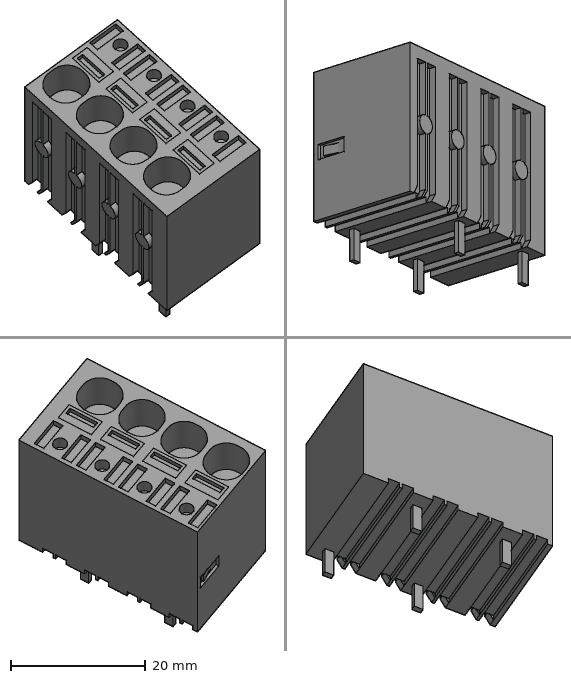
import cadquery as cq


LENGTH = 31.8
DEPTH = 18.5
TOTAL_HEIGHT = 29.15
PIN_LENGTH = 5.1
HEIGHT = TOTAL_HEIGHT - PIN_LENGTH
POLE_COUNT = 4
PITCH = 7.5
POLE_STARTS = [pole * PITCH for pole in range(POLE_COUNT)]
POLE_CENTER = PITCH / 2

SLOT_WIDTH = 1.88
RIB_WIDTH = 0.45
SLOT_DEPTH = 1.1
SLOT_TOP = 22.0
SLOT_BEND = 1.45
SLOT_SHIFT = 0.9
FIRST_SLOT = 1.75
SLOT_STARTS = [FIRST_SLOT, FIRST_SLOT + SLOT_WIDTH + RIB_WIDTH]
CHANNEL_HEIGHT = 0.95
DISC_DIAMETER = 3.0
DISC_HEIGHT = HEIGHT / 2

WIRE_WIDTH = 6.52
WIRE_LENGTH = 6.8
WIRE_CORNER_RADIUS = 2.95
WIRE_CENTER_Y = 4.95
WIRE_DEPTH = 6.35
TEST_DIAMETER = 2.2
TEST_CENTER_Y = 15.75
TEST_DEPTH = 2.23
POCKET_WIDTH = 1.7
POCKET_LENGTH = 5.18
POCKET_DEPTH = 1.0
POCKET_CENTER_Y = 15.2
POCKET_STARTS = [0.4, 5.3]

BUTTON_WIDTH = 5.88
BUTTON_LENGTH = 2.93
BUTTON_HEIGHT = 1.9
BUTTON_CENTER_Y = 10.27
BUTTON_SLOT_WIDTH = 4.9
BUTTON_SLOT_LENGTH = 1.08
BUTTON_SLOT_DEPTH = 0.75
BUTTON_SLOT_CENTER_Y = 9.85

RECESS_DEPTH = 0.5
RECESS_FRONT = 12.7
RECESS_LENGTH = 4.95
RECESS_BOTTOM = 9.75
RECESS_HEIGHT = 2.45
WEDGE_FRONT = 14.15
WEDGE_BACK = 16.7
WEDGE_BOTTOM = 10.18
WEDGE_HEIGHT = 1.55
WEDGE_RISE = 0.4

PIN_WIDTH = 1.5
PIN_THICKNESS = 0.8
PIN_CENTER_X = 6.55
PIN_FRONT_Y = 1.95
PIN_BACK_Y = 15.9


def block(x, y, z, width, length, height):
    """Box with its lowest corner at (x, y, z)."""
    return cq.Workplane("XY").box(width, length, height, centered=False).translate((x, y, z))


def top_block(center_x, center_y, width, length, depth):
    """Box that goes down from the top face of the housing."""
    x = center_x - width / 2
    y = center_y - length / 2
    return block(x, y, HEIGHT - depth, width, length, depth)


def front_slot(left):
    """Slot in the front face whose lower end slants to the left."""
    right = left + SLOT_WIDTH
    outline = [
        (left, SLOT_TOP),
        (right, SLOT_TOP),
        (right, SLOT_BEND),
        (right - SLOT_SHIFT, 0),
        (left - SLOT_SHIFT, 0),
        (left, SLOT_BEND),
    ]
    return cq.Workplane("XZ").polyline(outline).close().extrude(-SLOT_DEPTH)


def bottom_channel(left):
    """Channel along the underside, from the lower end of a slot to the back."""
    length = DEPTH - SLOT_DEPTH
    return block(left - SLOT_SHIFT, SLOT_DEPTH, 0, SLOT_WIDTH, length, CHANNEL_HEIGHT)


def front_disc(center_x):
    """Round boss that stands on the slot floors, level with the front face."""
    disc = cq.Workplane("XZ").center(center_x, DISC_HEIGHT).circle(DISC_DIAMETER / 2)
    return disc.extrude(-SLOT_DEPTH)


def wire_opening(center_x):
    """Wire entry with strongly rounded corners."""
    opening = top_block(center_x, WIRE_CENTER_Y, WIRE_WIDTH, WIRE_LENGTH, WIRE_DEPTH)
    return opening.edges("|Z").fillet(WIRE_CORNER_RADIUS)


def test_hole(center_x):
    """Round test hole behind the button."""
    hole = cq.Workplane("XY", origin=(center_x, TEST_CENTER_Y, HEIGHT))
    return hole.circle(TEST_DIAMETER / 2).extrude(-TEST_DEPTH)


def top_pocket(left):
    """Shallow pocket beside the test hole."""
    center_x = left + POCKET_WIDTH / 2
    return top_block(center_x, POCKET_CENTER_Y, POCKET_WIDTH, POCKET_LENGTH, POCKET_DEPTH)


def button_block(center_x):
    """Outer form of a button, also the seat cut for it."""
    return top_block(center_x, BUTTON_CENTER_Y, BUTTON_WIDTH, BUTTON_LENGTH, BUTTON_HEIGHT)


def latch_recess():
    """Recess in the left end, less the wedge that rises toward the back."""
    recess = block(0, RECESS_FRONT, RECESS_BOTTOM, RECESS_DEPTH, RECESS_LENGTH, RECESS_HEIGHT)
    wedge_outline = [
        (RECESS_DEPTH, WEDGE_FRONT),
        (RECESS_DEPTH, WEDGE_BACK),
        (RECESS_DEPTH - WEDGE_RISE, WEDGE_BACK),
    ]
    wedge = cq.Workplane("XY", origin=(0, 0, WEDGE_BOTTOM)).polyline(wedge_outline).close()
    return recess.cut(wedge.extrude(WEDGE_HEIGHT))


def make_housing():
    """Housing with the openings of every pole."""
    housing = block(0, 0, 0, LENGTH, DEPTH, HEIGHT).cut(latch_recess())
    for start in POLE_STARTS:
        center_x = start + POLE_CENTER
        for offset in SLOT_STARTS:
            housing = housing.cut(front_slot(start + offset))
            housing = housing.cut(bottom_channel(start + offset))
        housing = housing.union(front_disc(center_x))
        for offset in POCKET_STARTS:
            housing = housing.cut(top_pocket(start + offset))
        housing = housing.cut(test_hole(center_x))
        housing = housing.cut(wire_opening(center_x))
        housing = housing.cut(button_block(center_x))
    return housing


def make_button(center_x):
    """Release button with a screwdriver slot."""
    slot = top_block(
        center_x, BUTTON_SLOT_CENTER_Y, BUTTON_SLOT_WIDTH, BUTTON_SLOT_LENGTH, BUTTON_SLOT_DEPTH
    )
    return button_block(center_x).cut(slot)


def make_pin(center_x, center_y):
    """Flat solder pin below the housing."""
    x = center_x - PIN_WIDTH / 2
    y = center_y - PIN_THICKNESS / 2
    return block(x, y, -PIN_LENGTH, PIN_WIDTH, PIN_THICKNESS, PIN_LENGTH)


housing = make_housing()
buttons = [make_button(start + POLE_CENTER) for start in POLE_STARTS]

pins = []
for pole, start in enumerate(POLE_STARTS):
    pin_y = PIN_BACK_Y if pole % 2 == 0 else PIN_FRONT_Y
    pins.append(make_pin(start + PIN_CENTER_X, pin_y))

result = cq.Compound.makeCompound([
    housing.val(),
    *[button.val() for button in buttons],
    *[pin.val() for pin in pins],
])